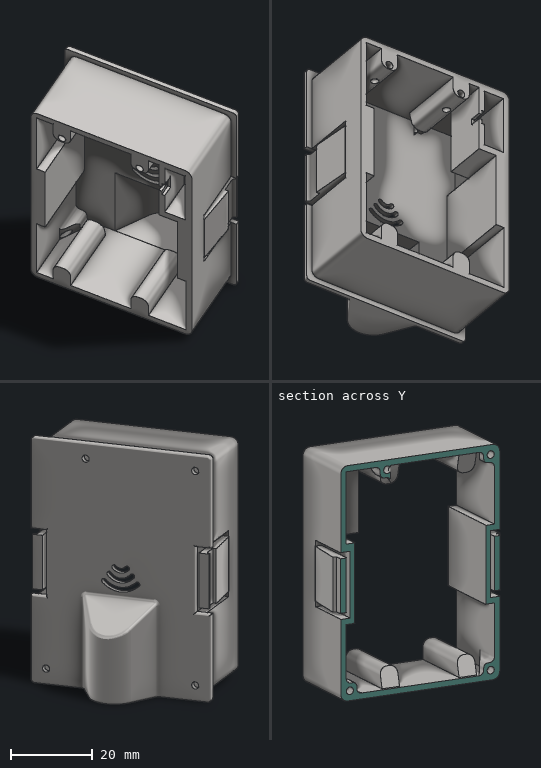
import cadquery as cq
import math


frame_width = 44.35
frame_height = 60.0
frame_depth = 21.0
frame_corner_radius = 2.0
wall = 1.65
inner_x = frame_width / 2 - wall
inner_z = frame_height / 2 - wall

flange_overhang = 1.5
cover_width = frame_width + 2 * flange_overhang
cover_height = frame_height + 2 * flange_overhang
cover_thickness = 1.5
cover_corner_radius = 1.0
edge_radius = 0.5

clip_center_z = -0.45
clip_height = 14.0
clip_gap = 1.45
clip_thickness = wall
clip_root_y = -14.35
barb_peak_y = -4.15
barb_back_y = -3.45
clip_face_x = frame_width / 2 + 0.1
clip_tip_x = frame_width / 2 + 1.0
recess_depth = 2.6
recess_height = clip_height + 2 * clip_gap
recess_housing_depth = 4.0
recess_housing_top_z = clip_center_z + recess_height / 2 + wall

rib_width = 4.85
rib_centers_x = (-13.6, 7.8)
rib_tip_z = 23.1
rib_corner_radius = 2.0
rib_clearance = 2.25
rib_end_slope = 15
rib_hole_diameter = 2.0
rib_hole_z = 24.4
rib_hole_depth = 6.3
rib_cross_hole_top_z = 24.95

boss_size = 2.95
boss_radius = 1.2
boss_tall = 8.8
boss_slope_angle = 60
screw_diameter = 1.8
screw_inset = 0.95
inner_boss_edge_x = 11.2

compartment_left_x = 13.1
compartment_bottom_z = 10.1
compartment_depth = 12.0
pocket_left_x = 14.75
pocket_right_x = 20.35
pocket_bottom_z = 11.9
pocket_top_z = 27.9
pocket_floor = 1.65
cable_slot_z = 19.9
cable_slot_depth = 3.15
cable_neck_height = 1.6
cable_seat_height = 3.9
cable_neck_length = 0.8

bump_height = 10.35
bump_radius = 6.5
bump_flank_angle = 31
bump_edge_radius = 1.0
bump_zone_x = 12.6
bump_wall = 0.9
bump_top_z = -7.1
bump_top_slope = 0.7

tolerance = 0.005

wave_width = 1.15
waves = ((1.7, 0.5, 0.75), (3.0, -1.3, 1.45), (4.4, -3.3, 1.8))


def box(x_range, y_range, z_range):
    """Box between two limits on each axis, given in any order."""
    lows = [min(r) for r in (x_range, y_range, z_range)]
    sizes = [abs(r[1] - r[0]) for r in (x_range, y_range, z_range)]
    return cq.Workplane("XY").box(*sizes, centered=False).translate(tuple(lows))


def centered_range(center, size):
    return (center - size / 2, center + size / 2)


def front_plane(y):
    """XZ sketch plane at the given Y; extrusions run toward -Y."""
    return cq.Workplane("XZ", origin=(0, y, 0))


def cylinder(x, z, diameter, y_start, y_end):
    """Cylinder along Y from y_start down to y_end."""
    return front_plane(y_start).center(x, z).circle(diameter / 2).extrude(y_start - y_end)


def frame_tube():
    outer = front_plane(0).rect(frame_width, frame_height).extrude(frame_depth)
    outer = outer.edges("|Y").fillet(frame_corner_radius)
    return outer.cut(front_plane(0).rect(2 * inner_x, 2 * inner_z).extrude(frame_depth))


def rib(center_x, side):
    """Rib with rounded corners on the top (side 1) or bottom (side -1) wall.

    Its back end stays clear of the cover and slopes away from the wall.
    """
    x_range = centered_range(center_x, rib_width)
    root_z = inner_z + wall / 2
    bar = box(x_range, (-frame_depth, 0), (rib_tip_z, root_z))
    bar = bar.edges("|Y and <Z").fillet(rib_corner_radius)
    tip_y = -rib_clearance - (inner_z - rib_tip_z) * math.tan(math.radians(rib_end_slope))
    end_line = [(-rib_clearance, root_z), (-rib_clearance, inner_z), (tip_y, rib_tip_z)]
    clearance = cq.Workplane("YZ", origin=(x_range[0], 0, 0))
    clearance = clearance.polyline([(0, root_z), *end_line, (0, rib_tip_z)]).close().extrude(rib_width)
    bar = bar.cut(clearance)
    return bar if side > 0 else bar.mirror("XY")


def rib_hole(center_x):
    """Blind hole from the rim that meets a cross hole drilled up from the rib tip."""
    end_y = rib_hole_depth - frame_depth
    hole = cylinder(center_x, rib_hole_z, rib_hole_diameter, end_y, -frame_depth)
    cross_hole = (
        cq.Workplane("XY", origin=(center_x, end_y, rib_tip_z))
        .circle(rib_hole_diameter / 2)
        .extrude(rib_cross_hole_top_z - rib_tip_z)
    )
    return hole.union(cross_hole)


def boss_outline():
    """Boss section in a corner at the origin, growing toward +X and -Z with filleted flanks."""
    s = boss_size
    r = boss_radius
    k = r * (1 - math.sqrt(0.5))
    return (
        front_plane(0)
        .lineTo(s + r, 0)
        .threePointArc((s + k, -k), (s, -r))
        .lineTo(s, r - s)
        .threePointArc((s - k, k - s), (s - r, -s))
        .lineTo(r, -s)
        .threePointArc((k, -s - k), (0, -s - r))
        .close()
    )


def sloped_boss(slope_along_x):
    """Boss whose free end slopes down away from the side wall, or else from the top wall."""
    body = boss_outline().extrude(boss_tall)
    reach = boss_size + boss_radius
    end = boss_tall - reach * math.tan(math.radians(boss_slope_angle))
    if slope_along_x:
        side = [(0, 0), (0, -boss_tall), (reach, -end), (reach, 0)]
        keep = cq.Workplane("XY", origin=(0, 0, -reach)).polyline(side).close().extrude(reach)
    else:
        side = [(0, 0), (-boss_tall, 0), (-end, -reach), (0, -reach)]
        keep = cq.Workplane("YZ").polyline(side).close().extrude(reach)
    return body.intersect(keep)


def screw_positions():
    x = inner_x - screw_inset
    z = inner_z - screw_inset
    inner_x_position = inner_boss_edge_x - boss_size + screw_inset
    return [(-x, z), (-x, -z), (x, -z), (inner_x_position, z)]


def bosses():
    corner = sloped_boss(True).translate((-inner_x, 0, inner_z))
    inner = sloped_boss(False).translate((inner_boss_edge_x - boss_size, 0, inner_z))
    lower_left = corner.mirror("XY")
    return [corner, lower_left, lower_left.mirror("YZ"), inner]


def compartment():
    """Block behind the rim with a blind pocket and a T-shaped cable slot in its left wall."""
    rim = -frame_depth
    back = rim + compartment_depth
    block = box((compartment_left_x, inner_x), (rim, back), (compartment_bottom_z, inner_z))
    pocket_y = (rim, back - pocket_floor)
    pocket = box((pocket_left_x, pocket_right_x), pocket_y, (pocket_bottom_z, pocket_top_z))
    seat_x = compartment_left_x + cable_neck_length
    slot_y = (rim, rim + cable_slot_depth)
    neck_z = centered_range(cable_slot_z, cable_neck_height)
    seat_z = centered_range(cable_slot_z, cable_seat_height)
    neck = box((compartment_left_x, seat_x), slot_y, neck_z)
    seat = box((seat_x, pocket_left_x), slot_y, seat_z)
    return block.cut(pocket).cut(neck).cut(seat)


def recess_housing(top_z):
    """Thickened right wall that encloses the clip recess, up to top_z."""
    outer = frame_width / 2
    bottom_z = clip_center_z - recess_height / 2 - wall
    return box((outer - recess_housing_depth, inner_x), (-frame_depth, 0), (bottom_z, top_z))


def recess():
    """Space around the right clip, open to the side and to the back."""
    outer = frame_width / 2
    z_range = centered_range(clip_center_z, recess_height)
    return box((outer - recess_depth, outer), (clip_root_y, 0), z_range)


def clip():
    """Right clip: arm with a tapered barb and a flared finger tab that passes the cover."""
    inner_face_x = frame_width / 2 - clip_thickness
    flare = clip_tip_x - clip_face_x
    k = flare * (1 - math.sqrt(0.5))
    outline = (
        cq.Workplane("XY", origin=(0, 0, clip_center_z - clip_height / 2))
        .moveTo(inner_face_x, clip_root_y)
        .lineTo(clip_face_x, clip_root_y)
        .lineTo(clip_tip_x, barb_peak_y)
        .lineTo(clip_tip_x, barb_back_y)
        .lineTo(clip_face_x, barb_back_y)
        .lineTo(clip_face_x, 0)
        .threePointArc((clip_face_x + k, flare - k), (clip_tip_x, flare))
        .lineTo(clip_tip_x, cover_thickness)
        .lineTo(inner_face_x, cover_thickness)
        .close()
    )
    return outline.extrude(clip_height)


def make_frame():
    body = frame_tube()
    for center_x in rib_centers_x:
        body = body.union(rib(center_x, 1)).union(rib(center_x, -1))
    for center_x in rib_centers_x:
        body = body.cut(rib_hole(center_x))
    for boss in bosses():
        body = body.union(boss)
    body = body.union(compartment())
    body = body.union(recess_housing(compartment_bottom_z))
    body = body.union(recess_housing(recess_housing_top_z).mirror("YZ"))
    body = body.cut(recess()).cut(recess().mirror("YZ"))
    body = body.union(clip()).union(clip().mirror("YZ"))
    for x, z in screw_positions():
        body = body.cut(cylinder(x, z, screw_diameter, 0, -boss_tall))
    return body


def cover_plate():
    plate = front_plane(cover_thickness).rect(cover_width, cover_height).extrude(cover_thickness)
    plate = plate.edges("|Y").fillet(cover_corner_radius)
    z_range = centered_range(clip_center_z, recess_height)
    for side in (-1, 1):
        x_range = (side * (frame_width / 2 - recess_depth), side * cover_width / 2)
        plate = plate.cut(box(x_range, (0, cover_thickness), z_range))
    return plate


def bump_shape(offset, base_y, bottom_z):
    """Bump shrunk inward by an offset, from base_y to its nose and down to bottom_z."""
    flank = math.radians(bump_flank_angle)
    radius = bump_radius - offset
    center_y = cover_thickness + bump_height - bump_radius
    tangent_x = radius * math.cos(flank)
    tangent_y = center_y + radius * math.sin(flank)
    base_x = tangent_x + (tangent_y - base_y) * math.tan(flank)
    nose_y = center_y + radius
    prism = (
        cq.Workplane("XY", origin=(0, 0, bottom_z))
        .moveTo(-base_x, base_y)
        .lineTo(-tangent_x, tangent_y)
        .threePointArc((0, nose_y), (tangent_x, tangent_y))
        .lineTo(base_x, base_y)
        .close()
        .extrude(bump_top_z + cover_height)
    )
    drop = offset * math.hypot(1, bump_top_slope)
    base_z = bump_top_z - drop - (base_y - cover_thickness) * bump_top_slope
    nose_z = base_z - (nose_y - base_y) * bump_top_slope
    side = [(base_y, bottom_z), (base_y, base_z), (nose_y, nose_z), (nose_y, bottom_z)]
    profile = cq.Workplane("YZ").polyline(side).close().extrude(base_x, both=True)
    return prism.intersect(profile)


def wave_slot(half_span, end_z, sag):
    """Curved slot through the cover with round ends."""
    radius = (half_span**2 + sag**2) / (2 * sag)
    center_z = end_z - sag + radius
    half_width = wave_width / 2
    sweep = math.asin(half_span / radius)
    inner = radius - half_width
    outer = radius + half_width

    def point(r, angle):
        return (r * math.sin(angle), center_z - r * math.cos(angle))

    end = point(radius, sweep)
    cap = (end[0] + half_width * math.cos(sweep), end[1] + half_width * math.sin(sweep))
    outline = (
        front_plane(cover_thickness)
        .moveTo(*point(outer, -sweep))
        .threePointArc(point(outer, 0), point(outer, sweep))
        .threePointArc(cap, point(inner, sweep))
        .threePointArc(point(inner, 0), point(inner, -sweep))
        .threePointArc((-cap[0], cap[1]), point(outer, -sweep))
        .close()
    )
    return outline.extrude(cover_thickness)


def rounded_shell():
    """Plate and solid bump with the flange edges and the bump edges rounded."""
    body = cover_plate().union(bump_shape(0, cover_thickness, -cover_height / 2))

    def at_back(bounds):
        return bounds.ymin > cover_thickness - tolerance

    def on_rim(bounds):
        at_bottom = bounds.zmax < tolerance - cover_height / 2
        beside_bump = max(bounds.xmax, -bounds.xmin) > bump_zone_x
        return at_bottom or beside_bump

    def flank_seam(bounds):
        return bounds.xlen < tolerance and bounds.ymin > cover_thickness + tolerance

    bump_edges = []
    for edge in body.edges().vals():
        bounds = edge.BoundingBox()
        if at_back(bounds) and not on_rim(bounds) and not flank_seam(bounds):
            bump_edges.append(edge)
    body = body.newObject(bump_edges).fillet(bump_edge_radius)

    rim_edges = []
    for edge in body.edges().vals():
        bounds = edge.BoundingBox()
        if at_back(bounds) and on_rim(bounds):
            rim_edges.append(edge)
    return body.newObject(rim_edges).fillet(edge_radius)


def make_cover():
    body = rounded_shell()
    body = body.cut(bump_shape(bump_wall, 0, -inner_z))
    for half_span, end_z, sag in waves:
        body = body.cut(wave_slot(half_span, end_z, sag))
    for x, z in screw_positions():
        body = body.cut(cylinder(x, z, screw_diameter, cover_thickness, 0))
    return body


frame = make_frame()
cover = make_cover()
result = cq.Compound.makeCompound([frame.val(), cover.val()])